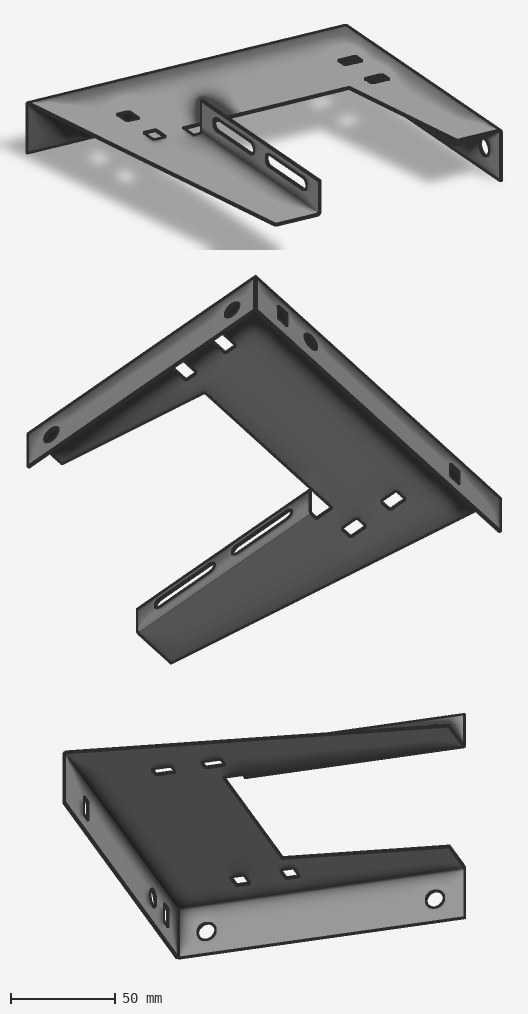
import cadquery as cq

thickness = 0.9
inner_radius = 1.0
outer_radius = inner_radius + thickness

length = 185.0
width = 178.64
height = 44.03
plate_top = 27.0
plate_bottom = plate_top - thickness
corner_gap = 0.1

rear_arm_end = 145.0
arm_tip_width = 25.0
throat_x = 65.0
tip_front_y = 28.4
taper_slope = tip_front_y / (length - outer_radius)
lip_face_y = tip_front_y + arm_tip_width
relief_length = 10.0
relief_depth = 5.0
lip_start = throat_x + relief_length
lip_length = length - lip_start
rear_arm_tip_y = width - arm_tip_width
throat_rear_y = rear_arm_tip_y - taper_slope * (rear_arm_end - throat_x)

cut_depth = 3 * thickness

window_width = 7.0
window_length = 10.0
window_corner = 1.0
plate_window_starts = (35.0, 60.0)
rear_window_y = width - 21.0
front_window_y = width - 146.0
side_windows = ((width - 19.75, 13.8), (width - 145.25, 12.3))

hole_diameter = 9.0
rear_hole_z = 12.0
rear_hole_xs = (15.0, 130.0)
side_hole_y = width - 40.25
side_hole_z = 13.5

slot_length = 38.0
slot_width = 6.5
slot_pitch = 49.0
slot_z = height - 7.0


def bend_envelope(run):
    """Solid block under the outer surface of a flange and its bend, running along +Y."""
    return (
        cq.Workplane("XZ")
        .lineTo(0, plate_top - outer_radius)
        .radiusArc((outer_radius, plate_top), outer_radius)
        .lineTo(outer_radius, 0)
        .close()
        .extrude(-run)
    )


def bend_hollow(run):
    """Block removed from the envelope to leave one sheet thickness, running along +Y."""
    return (
        cq.Workplane("XZ")
        .moveTo(thickness, 0)
        .lineTo(thickness, plate_top - outer_radius)
        .radiusArc((outer_radius, plate_bottom), inner_radius)
        .lineTo(outer_radius, 0)
        .close()
        .extrude(-run)
    )


def to_rear_edge(body):
    """Turn a body made for the side edge so that it runs along the rear edge."""
    return body.rotate((0, 0, 0), (0, 0, 1), -90).translate((0, width, 0))


def make_plate():
    """Flat C-shaped sheet up to the start of each bend."""
    return (
        cq.Workplane("XY")
        .workplane(offset=plate_bottom)
        .polyline(
            [
                (outer_radius, 0),
                (length, tip_front_y),
                (length, lip_face_y - outer_radius),
                (lip_start, lip_face_y - outer_radius),
                (lip_start, lip_face_y - relief_depth),
                (throat_x, lip_face_y - relief_depth),
                (throat_x, throat_rear_y),
                (rear_arm_end, rear_arm_tip_y),
                (rear_arm_end, width - outer_radius),
                (outer_radius, width - outer_radius),
            ]
        )
        .close()
        .extrude(thickness)
    )


def make_lip():
    """Lip folded up along the inner edge of the front arm."""
    bend_y = lip_face_y - outer_radius
    bend_z = plate_bottom + outer_radius
    return (
        cq.Workplane("YZ")
        .workplane(offset=lip_start)
        .moveTo(bend_y, plate_bottom)
        .radiusArc((lip_face_y, bend_z), -outer_radius)
        .lineTo(lip_face_y, height)
        .lineTo(lip_face_y - thickness, height)
        .lineTo(lip_face_y - thickness, bend_z)
        .radiusArc((bend_y, plate_top), inner_radius)
        .close()
        .extrude(lip_length)
    )


def make_flanges():
    """Side and rear flanges folded down, with mitred bends and an open notch below their corner."""
    side = bend_envelope(width)
    rear = to_rear_edge(bend_envelope(rear_arm_end))
    corner = (
        cq.Workplane("XY")
        .box(outer_radius, outer_radius, plate_top, centered=False)
        .translate((0, width - outer_radius, 0))
    )
    side_hollow = bend_hollow(width)
    rear_hollow = to_rear_edge(bend_hollow(rear_arm_end))
    side_flange = side.cut(side_hollow).cut(corner)
    rear_flange = rear.cut(rear_hollow).cut(corner)
    bend_corner = side.intersect(rear).cut(side_hollow.intersect(rear_hollow))
    notch_size = thickness + corner_gap
    notch = (
        cq.Workplane("XY")
        .box(notch_size, notch_size, plate_top - outer_radius, centered=False)
        .translate((0, width - notch_size, 0))
    )
    return side_flange.union(rear_flange).union(bend_corner).cut(notch)


def box_window(size, centre):
    """Rectangular cutter of the given size about its centre."""
    return cq.Workplane("XY").box(*size).translate(centre)


def cut_plate_windows(body):
    for start in plate_window_starts:
        rear = box_window((window_width, window_length, cut_depth),
                          (start + window_width / 2, rear_window_y, plate_bottom))
        front = box_window((window_length, window_width, cut_depth),
                           (start + window_length / 2, front_window_y, plate_bottom))
        body = body.cut(rear.edges("|Z").fillet(window_corner))
        body = body.cut(front.edges("|Z").fillet(window_corner))
    return body


def cut_side_openings(body):
    for y, z in side_windows:
        window = box_window((cut_depth, window_width, window_length), (0, y, z))
        body = body.cut(window.edges("|X").fillet(window_corner))
    hole = cq.Workplane("YZ").center(side_hole_y, side_hole_z).circle(hole_diameter / 2).extrude(cut_depth)
    return body.cut(hole)


def cut_rear_holes(body):
    for x in rear_hole_xs:
        hole = (
            cq.Workplane("XZ", origin=(x, width, rear_hole_z))
            .circle(hole_diameter / 2)
            .extrude(cut_depth, both=True)
        )
        body = body.cut(hole)
    return body


def cut_lip_slots(body):
    lip_middle = lip_start + lip_length / 2
    for side in (-1, 1):
        slot = (
            cq.Workplane("XZ", origin=(lip_middle + side * slot_pitch / 2, lip_face_y, slot_z))
            .slot2D(slot_length, slot_width)
            .extrude(cut_depth, both=True)
        )
        body = body.cut(slot)
    return body


result = make_plate().union(make_flanges()).union(make_lip())
result = cut_plate_windows(result)
result = cut_side_openings(result)
result = cut_rear_holes(result)
result = cut_lip_slots(result)